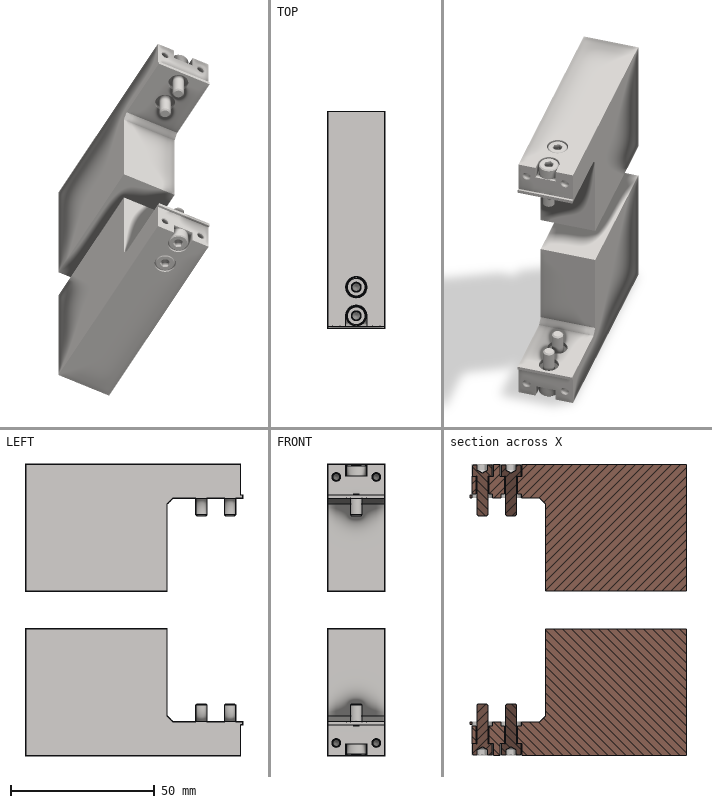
import cadquery as cq
import math

width = 20.0
jaw_height = 44.5
jaw_gap = 13.0

block_length = 49.5
arm_front = 0.0
lip_length = 0.8
total_length = 76.0
arm_thickness = 12.0
corner_chamfer = 2.0
lip_thickness = 1.2

screw_positions = (3.7, 13.7)
counterbore_diameter = 7.4
counterbore_depth = 4.2
clearance_diameter = 4.3
relief_diameter = 7.0
relief_depth = 1.5

tapped_spacing = 14.0
tapped_distance_from_top = 4.5
tapped_core_diameter = 2.46
tapped_mouth_diameter = 3.0
tapped_depth = 6.0
drill_point_angle = 118.0

head_diameter = 7.0
head_height = 4.0
head_chamfer = 0.4
shank_diameter = 4.0
shank_length = 14.0
tip_chamfer = 0.5
socket_sides = 6
socket_width = 3.0
socket_depth = 2.0
socket_point_angle = 120.0

jaw_bottom = jaw_gap / 2
jaw_top = jaw_bottom + jaw_height
arm_bottom = jaw_top - arm_thickness
seat_level = jaw_top - counterbore_depth
block_back = total_length - lip_length
block_front = block_back - block_length


def cone_height(diameter, point_angle):
    """Height of a conical hole bottom with the given full point angle."""
    return diameter / 2 / math.tan(math.radians(point_angle / 2))


def make_jaw_blank():
    """L-shaped jaw with a chamfered inner corner and a lip along the arm's lower front edge."""
    profile = [
        (arm_front, jaw_top),
        (block_back, jaw_top),
        (block_back, jaw_bottom),
        (block_front, jaw_bottom),
        (block_front, arm_bottom - corner_chamfer),
        (block_front - corner_chamfer, arm_bottom),
        (arm_front - lip_length, arm_bottom),
        (arm_front - lip_length, arm_bottom + lip_thickness),
        (arm_front, arm_bottom + lip_thickness),
    ]
    return cq.Workplane("YZ").polyline(profile).close().extrude(width / 2, both=True)


def vertical_cylinder(y, diameter, bottom, top):
    return cq.Workplane("XY", origin=(0, y, bottom)).circle(diameter / 2).extrude(top - bottom)


def make_screw_seat(y):
    """Counterbore on top, clearance hole through the arm and a wider relief underneath."""
    counterbore = vertical_cylinder(y, counterbore_diameter, seat_level, jaw_top)
    clearance = vertical_cylinder(y, clearance_diameter, arm_bottom, jaw_top)
    relief = vertical_cylinder(y, relief_diameter, arm_bottom, arm_bottom + relief_depth)
    return counterbore.union(clearance).union(relief)


def make_front_slot():
    """Opens the counterbore nearest the front face towards -Y."""
    slot_length = screw_positions[0] - arm_front
    return cq.Workplane("XY").box(
        counterbore_diameter, slot_length, counterbore_depth, centered=(True, False, False)
    ).translate((0, arm_front, seat_level))


def make_tapped_hole(x):
    """Blind hole along +Y with a countersunk mouth and a conical bottom."""
    mouth_radius = tapped_mouth_diameter / 2
    core_radius = tapped_core_diameter / 2
    point_depth = tapped_depth + cone_height(tapped_core_diameter, drill_point_angle)
    half_section = [
        (0, 0),
        (mouth_radius, 0),
        (core_radius, mouth_radius - core_radius),
        (core_radius, tapped_depth),
        (0, point_depth),
    ]
    hole = cq.Workplane("XY").polyline(half_section).close().revolve(360, (0, 0, 0), (0, 1, 0))
    return hole.translate((x, arm_front, jaw_top - tapped_distance_from_top))


def make_jaw():
    jaw = make_jaw_blank().cut(make_front_slot())
    for y in screw_positions:
        jaw = jaw.cut(make_screw_seat(y))
    for side in (-1, 1):
        jaw = jaw.cut(make_tapped_hole(side * tapped_spacing / 2))
    return jaw


def downward_cone(y, diameter, base_level):
    """Cone of the socket's point angle with its base up and its tip down."""
    height = cone_height(diameter, socket_point_angle)
    base_centre = cq.Vector(0, y, base_level)
    down = cq.Vector(0, 0, -1)
    return cq.Workplane(cq.Solid.makeCone(diameter / 2, 0, height, pnt=base_centre, dir=down))


def make_screw(y):
    """Cap screw standing in its seat, with a countersunk hexagon socket that ends in a cone."""
    head_top = seat_level + head_height
    head = vertical_cylinder(y, head_diameter, seat_level, head_top)
    head = head.faces(">Z").chamfer(head_chamfer)
    shank = vertical_cylinder(y, shank_diameter, seat_level - shank_length, seat_level)
    shank = shank.faces("<Z").chamfer(tip_chamfer)

    socket_bottom = head_top - socket_depth
    socket_corners = socket_width / math.cos(math.pi / socket_sides)
    socket = (
        cq.Workplane("XY", origin=(0, y, socket_bottom))
        .transformed(rotate=(0, 0, 90))
        .polygon(socket_sides, socket_corners)
        .extrude(socket_depth)
    )
    socket_point = downward_cone(y, socket_width, socket_bottom)
    socket_mouth = downward_cone(y, socket_corners, head_top)
    return head.union(shank).cut(socket).cut(socket_point).cut(socket_mouth)


upper_jaw = make_jaw()
upper_screws = [make_screw(y) for y in screw_positions]
upper_bodies = [upper_jaw, *upper_screws]
lower_bodies = [body.mirror("XY") for body in upper_bodies]

result = cq.Compound.makeCompound([body.val() for body in upper_bodies + lower_bodies])